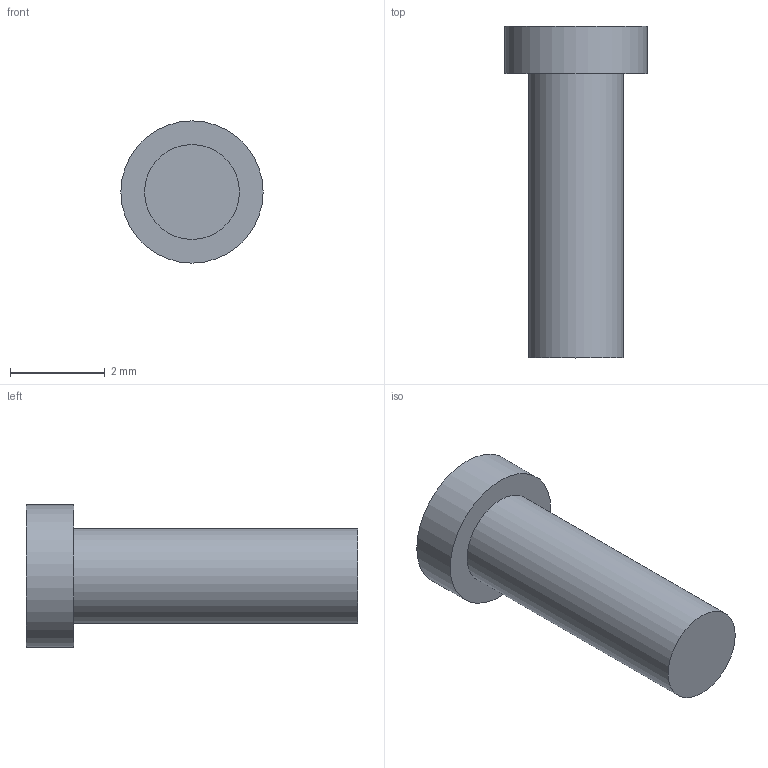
import cadquery as cq

head_diameter = 3.0
head_thickness = 1.0
shank_diameter = 2.0
shank_length = 6.0


def cylinder_along_y(diameter, start_y, length):
    """Solid cylinder on the Y axis, running from start_y toward +Y."""
    return (
        cq.Workplane("XZ")
        .workplane(offset=-start_y)
        .circle(diameter / 2)
        .extrude(-length)
    )


shank = cylinder_along_y(shank_diameter, -shank_length, shank_length)
head = cylinder_along_y(head_diameter, 0, head_thickness)

result = shank.union(head)